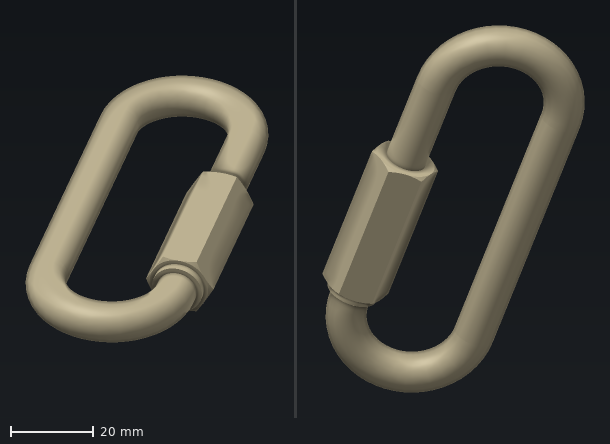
import cadquery as cq
import math

overall_length = 106.0
rod_diameter = 10.0
leg_spacing = 31.9
bend_radius = leg_spacing / 2
straight_length = overall_length - 2 * bend_radius - rod_diameter

across_flats = 14.7
across_corners = across_flats / math.cos(math.radians(30))
hex_top = 9.4
hex_bottom = -28.5
hex_length = hex_top - hex_bottom
collar_diameter = 12.6
collar_length = 1.9
corner_bevel_angle = 30.0

overall_width = rod_diameter / 2 + leg_spacing + across_corners / 2
left_leg_x = -overall_width / 2 + rod_diameter / 2
right_leg_x = left_leg_x + leg_spacing


def make_link():
    """Sweep the round rod section around the closed racetrack path."""
    half_straight = straight_length / 2
    middle_x = (left_leg_x + right_leg_x) / 2
    bend_end_y = half_straight + bend_radius
    path = (
        cq.Workplane("XY")
        .moveTo(left_leg_x, -half_straight)
        .lineTo(left_leg_x, half_straight)
        .threePointArc((middle_x, bend_end_y), (right_leg_x, half_straight))
        .lineTo(right_leg_x, -half_straight)
        .threePointArc((middle_x, -bend_end_y), (left_leg_x, -half_straight))
        .close()
    )
    section = cq.Workplane("XZ", origin=(left_leg_x, -half_straight, 0)).circle(rod_diameter / 2)
    return section.sweep(path)


def leg_plane(y):
    """Work plane across the +X leg at height y, with its normal along +Y."""
    return cq.Plane(origin=(right_leg_x, y, 0), xDir=(1, 0, 0), normal=(0, 1, 0))


def make_bevel_envelope():
    """Turned blank whose conical ends bevel the corners of the hexagon."""
    flat_radius = across_flats / 2
    corner_radius = across_corners / 2
    bevel_depth = (corner_radius - flat_radius) * math.tan(math.radians(corner_bevel_angle))
    return (
        cq.Workplane("XY", origin=(right_leg_x, 0, 0))
        .moveTo(0, hex_bottom)
        .lineTo(flat_radius, hex_bottom)
        .lineTo(corner_radius, hex_bottom + bevel_depth)
        .lineTo(corner_radius, hex_top - bevel_depth)
        .lineTo(flat_radius, hex_top)
        .lineTo(0, hex_top)
        .close()
        .revolve(360, (0, 0, 0), (0, 1, 0))
    )


def make_nut():
    """Hexagonal sleeve with beveled corners, a collar and a bore that fits the rod."""
    hexagon = cq.Workplane(leg_plane(hex_bottom)).polygon(6, across_corners).extrude(hex_length)
    body = hexagon.intersect(make_bevel_envelope())

    collar_bottom = hex_bottom - collar_length
    collar = cq.Workplane(leg_plane(collar_bottom)).circle(collar_diameter / 2).extrude(collar_length)

    bore = (
        cq.Workplane(leg_plane(collar_bottom))
        .circle(rod_diameter / 2)
        .extrude(collar_length + hex_length)
    )
    return body.union(collar).cut(bore)


link = make_link()
nut = make_nut()

result = cq.Compound.makeCompound([link.val(), nut.val()])